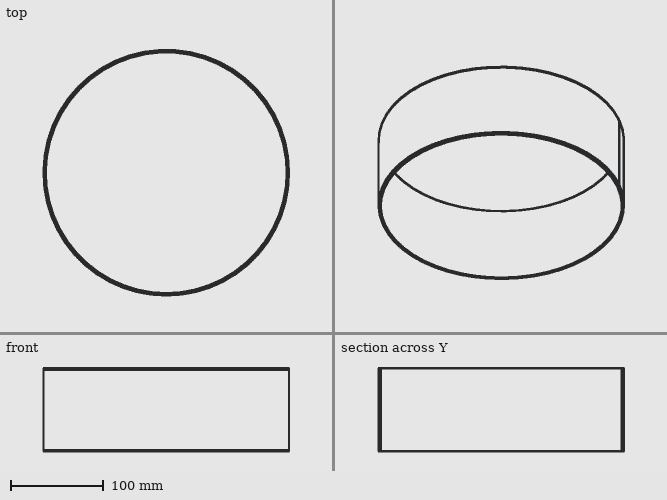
import cadquery as cq
import math

outer_diameter = 265.0
wall_thickness = 2.5
height = 90.0
outer_chamfer_height = 1.8
outer_chamfer_angle = 20.0
inner_chamfer_height = 0.6
inner_chamfer_angle = 30.0
split_angle = 1.0

outer_radius = outer_diameter / 2
inner_radius = outer_radius - wall_thickness
outer_chamfer_width = outer_chamfer_height * math.tan(math.radians(outer_chamfer_angle))
inner_chamfer_width = inner_chamfer_height * math.tan(math.radians(inner_chamfer_angle))


def chamfered_ring():
    """Thin ring about Z, bevelled inside and outside on its bottom and top rims."""
    rim_outer_radius = outer_radius - outer_chamfer_width
    rim_inner_radius = inner_radius + inner_chamfer_width
    profile = [
        (inner_radius, inner_chamfer_height),
        (rim_inner_radius, 0),
        (rim_outer_radius, 0),
        (outer_radius, outer_chamfer_height),
        (outer_radius, height - outer_chamfer_height),
        (rim_outer_radius, height),
        (rim_inner_radius, height),
        (inner_radius, height - inner_chamfer_height),
    ]
    return cq.Workplane("XZ").polyline(profile).close().revolve(360, (0, 0), (0, 1))


def split_cutter():
    """Wedge from the ring axis that opens the ring on -X, from Y = 0 towards +Y."""
    reach = outer_diameter
    wedge = [
        (0, 0),
        (-reach, 0),
        (-reach, reach * math.tan(math.radians(split_angle))),
    ]
    return cq.Workplane("XY").polyline(wedge).close().extrude(height)


result = chamfered_ring().cut(split_cutter())